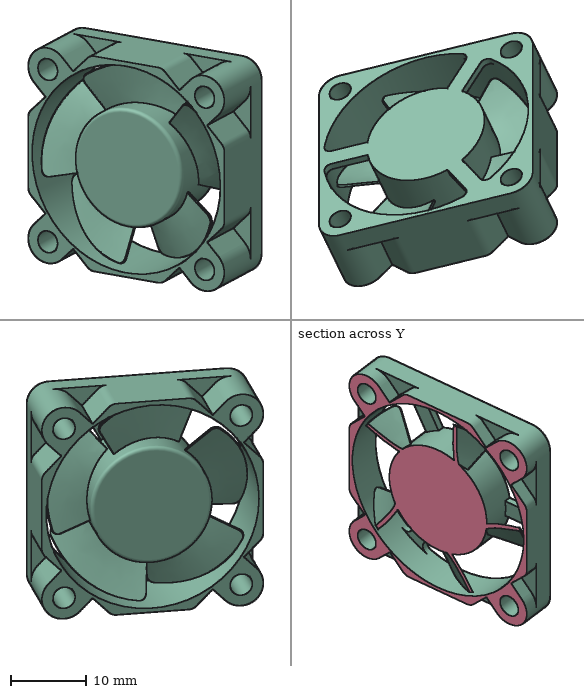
import cadquery as cq
import math


side = 30.0
depth = 10.0
flange_depth = 3.0
corner_radius = 3.0
screw_hole_diameter = 3.0
bore_radius = 14.4
front_y = -depth / 2
back_y = depth / 2
screw_offset = side / 2 - corner_radius

notch_depth = depth - flange_depth
notch_tip_offset = 8.13
notch_shoulder_radius = 1.5
notch_flank_angle = 45.0

hub_radius = 8.25
hub_recess = 0.5
hub_edge_radius = 0.5
strut_count = 3
strut_width = 2.4
strut_depth = 1.0
strut_root_radius = 1.0
strut_overlap = 0.3

blade_count = 5
first_blade_angle = 90.0
blade_tip_radius = 13.95
blade_corner_reach = 13.55
blade_root_half_angle = 34.6
blade_tip_half_angle = 32.6
blade_corner_radius = 1.0
blade_thickness = 0.3
root_leading_y = -2.28
root_trailing_y = 0.48
tip_leading_y = -4.68
tip_trailing_y = 3.0
blade_camber = 0.4

root_overlap = 0.45
skin_margin = 0.3
skin_margin_angle = 4.0
skin_points = 9


def polar(radius, angle):
    """Point at an angle from +X toward +Z, in the plane across the fan axis."""
    return (radius * math.cos(math.radians(angle)), radius * math.sin(math.radians(angle)))


def plane_at(y):
    """Work plane across the fan axis; extruding from it goes toward -Y."""
    return cq.Workplane("XZ", origin=(0, y, 0))


def spin(shape, angle):
    """Rotate about the fan axis, turning from +X toward +Z."""
    return shape.rotate((0, 0, 0), (0, -1, 0), angle)


def make_notch():
    """Notch in the top side, next to the post in the +X corner."""
    top = side / 2
    post_tangent = polar(corner_radius, 90 + notch_flank_angle)
    post_tangent_x = screw_offset + post_tangent[0]
    post_tangent_z = screw_offset + post_tangent[1]
    post_middle = polar(corner_radius, 90 + notch_flank_angle / 2)
    tip_z = post_tangent_z - (post_tangent_x - notch_tip_offset)
    flank_top_x = notch_tip_offset - (top - tip_z)
    round_length = notch_shoulder_radius * math.tan(math.radians(notch_flank_angle / 2))
    round_start = polar(round_length, notch_flank_angle)
    round_end_x = flank_top_x - round_length
    round_middle = polar(notch_shoulder_radius, 90 - notch_flank_angle / 2)
    return (
        plane_at(front_y + notch_depth)
        .moveTo(screw_offset, top)
        .threePointArc(
            (screw_offset + post_middle[0], screw_offset + post_middle[1]),
            (post_tangent_x, post_tangent_z),
        )
        .lineTo(notch_tip_offset, tip_z)
        .lineTo(flank_top_x + round_start[0], top - round_start[1])
        .threePointArc(
            (round_end_x + round_middle[0], top - notch_shoulder_radius + round_middle[1]),
            (round_end_x, top),
        )
        .close()
        .extrude(notch_depth)
    )


def make_housing():
    housing = plane_at(back_y).rect(side, side).extrude(depth).edges("|Y").fillet(corner_radius)
    housing = housing.cut(plane_at(back_y).circle(bore_radius).extrude(depth))
    holes = (
        plane_at(back_y)
        .rect(2 * screw_offset, 2 * screw_offset, forConstruction=True)
        .vertices()
        .circle(screw_hole_diameter / 2)
        .extrude(depth)
    )
    housing = housing.cut(holes)
    notch = make_notch()
    for quarter in range(4):
        housing = housing.cut(spin(notch, 90 * quarter))
        housing = housing.cut(spin(notch.mirror("YZ"), 90 * quarter))
    return housing


def make_hub():
    hub = plane_at(back_y).circle(hub_radius).extrude(depth - hub_recess)
    return hub.faces("<Y").edges().fillet(hub_edge_radius)


def make_strut():
    """Strut along +X whose outer end flares into the bore with two round fillets."""
    half_width = strut_width / 2
    round_z = half_width + strut_root_radius
    round_x = math.sqrt((bore_radius - strut_root_radius) ** 2 - round_z**2)
    round_angle = math.degrees(math.atan2(round_z, round_x))
    bore_x, bore_z = polar(bore_radius, round_angle)
    middle = polar(strut_root_radius, (round_angle - 90) / 2)
    end_x = bore_radius + strut_overlap
    return (
        plane_at(back_y)
        .moveTo(0, -half_width)
        .lineTo(round_x, -half_width)
        .threePointArc((round_x + middle[0], -round_z - middle[1]), (bore_x, -bore_z))
        .lineTo(end_x, -bore_z)
        .lineTo(end_x, bore_z)
        .lineTo(bore_x, bore_z)
        .threePointArc((round_x + middle[0], round_z + middle[1]), (round_x, half_width))
        .lineTo(0, half_width)
        .close()
        .extrude(strut_depth)
    )


def blade_height(radius, angle):
    """Y of the front skin; it grows linearly along the span and curves along the chord."""
    span = (radius - hub_radius) / (blade_tip_radius - hub_radius)
    leading_y = root_leading_y + span * (tip_leading_y - root_leading_y)
    trailing_y = root_trailing_y + span * (tip_trailing_y - root_trailing_y)
    chord = 0.5 - angle / (2 * blade_root_half_angle)
    return leading_y + (trailing_y - leading_y) * chord * (1 - blade_camber * (1 - chord))


def skin_curve(radius):
    """Chordwise curve of the front skin at one radius, reaching past both blade edges."""
    limit = blade_root_half_angle + skin_margin_angle
    points = []
    for index in range(skin_points):
        angle = limit * (2 * index / (skin_points - 1) - 1)
        x, z = polar(radius, angle)
        points.append(cq.Vector(x, blade_height(radius, angle), z))
    return cq.Edge.makeSpline(points)


def blade_outline():
    """Prism that trims the skin to the blade's outline, with the blade centred on +X."""
    root_x, root_z = polar(hub_radius, blade_root_half_angle)
    tip_x, tip_z = polar(blade_corner_reach, blade_tip_half_angle)
    inner_x = root_x - root_overlap
    inner_z = root_z - root_overlap * (tip_z - root_z) / (tip_x - root_x)
    return (
        plane_at(depth)
        .moveTo(inner_x, -inner_z)
        .lineTo(tip_x, -tip_z)
        .threePointArc((blade_tip_radius, 0), (tip_x, tip_z))
        .lineTo(inner_x, inner_z)
        .threePointArc((math.hypot(inner_x, inner_z), 0), (inner_x, -inner_z))
        .close()
        .extrude(2 * depth)
        .edges("|Y")
        .edges(">X")
        .fillet(blade_corner_radius)
    )


def make_blade():
    skin = cq.Face.makeRuledSurface(
        skin_curve(hub_radius - 2 * root_overlap - skin_margin),
        skin_curve(blade_tip_radius + skin_margin),
    )
    trimmed = skin.intersect(blade_outline().val()).Faces()[0]
    return cq.Workplane(trimmed.thicken(blade_thickness))


result = make_housing().union(make_hub())

strut = make_strut()
for index in range(strut_count):
    result = result.union(spin(strut, index * 360 / strut_count))

blade = make_blade()
for index in range(blade_count):
    result = result.union(spin(blade, first_blade_angle + index * 360 / blade_count))